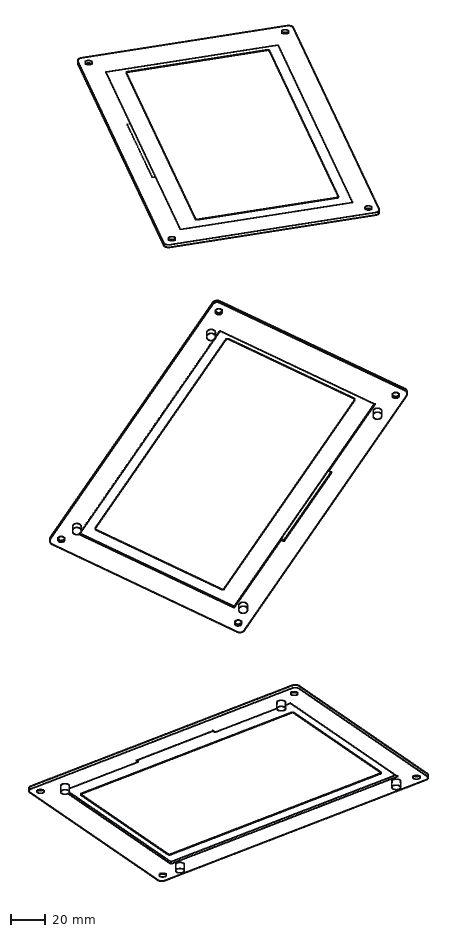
import cadquery as cq

plate_length = 196.0
plate_width = 130.0
plate_thickness = 2.0
corner_radius = 3.0

hole_diameter = 4.1
hole_inset = 5.7

window_length = 154.8
window_width = 86.2
window_center_y = 2.4
window_corner_radius = 1.0

recess_length = 165.0
recess_width = 103.9
recess_depth = 1.49
recess_center_x = 1.5

notch_length = 55.9
notch_extension = 2.0
notch_center_x = 1.2
notch_depth = 1.41

standoff_diameter = 5.0
standoff_height = 4.1
standoff_spacing_x = 157.4
standoff_spacing_y = 111.5
standoff_center_x = recess_center_x


def make_frame():
    """Rounded plate with corner holes, a window and an underside recess."""
    plate = (
        cq.Workplane("XY")
        .rect(plate_length, plate_width)
        .extrude(plate_thickness)
        .edges("|Z")
        .fillet(corner_radius)
    )
    holes = (
        cq.Workplane("XY")
        .rect(plate_length - 2 * hole_inset, plate_width - 2 * hole_inset, forConstruction=True)
        .vertices()
        .circle(hole_diameter / 2)
        .extrude(plate_thickness)
    )
    window = (
        cq.Workplane("XY")
        .center(0, window_center_y)
        .rect(window_length, window_width)
        .extrude(plate_thickness)
        .edges("|Z")
        .fillet(window_corner_radius)
    )
    return plate.cut(holes).cut(window).cut(make_recess())


def make_recess():
    """Volume of the underside recess, including its edge notch."""
    seat = (
        cq.Workplane("XY")
        .center(recess_center_x, 0)
        .rect(recess_length, recess_width)
        .extrude(recess_depth)
    )
    notch = (
        cq.Workplane("XY")
        .center(notch_center_x, -recess_width / 2)
        .rect(notch_length, 2 * notch_extension)
        .extrude(notch_depth)
    )
    return seat.union(notch)


def make_standoff(x, y):
    """Round standoff hanging from the underside of the plate."""
    return (
        cq.Workplane("XY")
        .center(x, y)
        .circle(standoff_diameter / 2)
        .extrude(-standoff_height)
    )


frame = make_frame()
standoffs = []
for side_x in (-1, 1):
    for side_y in (-1, 1):
        x = standoff_center_x + side_x * standoff_spacing_x / 2
        y = side_y * standoff_spacing_y / 2
        standoffs.append(make_standoff(x, y))

result = cq.Compound.makeCompound([frame.val(), *[standoff.val() for standoff in standoffs]])